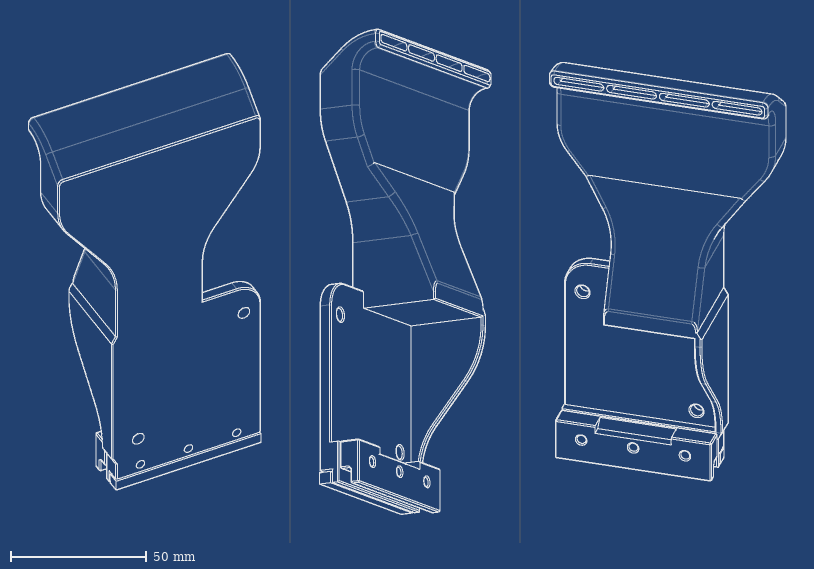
import cadquery as cq
import math


total_height = 171
paddle_width = 84.3
half_paddle = paddle_width / 2
neck_width = 36.2
half_neck = neck_width / 2
paddle_thickness = 16.0
lip_depth = 35.4
hook_depth = 25.1
hook_land = 1.5
crown_radius = 23.0
crown_angle = math.radians(40)
tip_bottom = 164.0
slope_top = 123.5
lip_top = 78.7
lip_bottom = 71.6
shoulder_top = 136.6
shoulder_bottom = 105.0
shoulder_radius = 18.8
neck_radius = 24
edge_round = 2.0
tip_chamfer = 1.0
edge_chamfer = 0.5

tolerance = 0.02
margin = 1.7

slot_count = 4
slot_length = 19.1
slot_height = 3.0
slot_pitch = 20.3
slot_z = 167.5
slot_sweep = 60

plate_thickness = 5.0
plate_top = 78.3
plate_corner = 10.0
plate_hole_diameter = 4.8
plate_holes = [(35.0, 66.0), (-8.9, 22.2)]
foot_thickness = 8.2
foot_top = 16.4
foot_bottom = 1.0
wall_outer = -19.8
wall_inner = -17.0
wall_top = 74.5
wall_bottom = 13.3
wall_upper_corner = 57.1
wall_run_angle = math.radians(41)
wall_upper_radius = 30.8
wall_lower_radius = 25.6

rebate_depth = 5.6
rebate_top = 6.2
bar_clearance = 0.9

clamp_gap = 0.5
clamp_front = 17.0
clamp_leg = 3.8
clamp_underside = 6.0
screw_diameter = 3.5
screw_pitch = 20.0
screw_z = 9.5
pocket_length = 29.4
pocket_depth = 3.0
pocket_floor = 3.6

foot_centre = (half_paddle - half_neck) / 2
arc_x = hook_land - hook_depth
hook_radius = -paddle_thickness - arc_x
hook_centre_z = tip_bottom - hook_radius
screw_points = [(foot_centre + i * screw_pitch, screw_z) for i in (-1, 0, 1)]


def box(x_range, y_range, z_range):
    """Axis-aligned block between the given limits."""
    low = [min(r) for r in (x_range, y_range, z_range)]
    size = [abs(r[1] - r[0]) for r in (x_range, y_range, z_range)]
    return cq.Workplane("XY").box(*size, centered=False).translate(tuple(low))


def holes_along_x(points, diameter):
    """Cylinders for through holes along X, as long as the part is deep."""
    return (
        cq.Workplane("YZ", origin=(-lip_depth, 0, 0))
        .pushPoints(points)
        .circle(diameter / 2)
        .extrude(lip_depth)
    )


def countersinks(points, diameter, front_x):
    """Cones that break the front rim of holes opening at front_x."""
    return (
        cq.Workplane("YZ", origin=(front_x, 0, 0))
        .pushPoints(points)
        .circle(diameter / 2 + edge_chamfer)
        .extrude(edge_chamfer, taper=45)
    )


def paddle_side_profile():
    """Section through the hook, flat, slope and lip, extruded over the full width."""
    crown_z = total_height - crown_radius
    crown_end = (
        arc_x + crown_radius * math.sin(crown_angle),
        crown_z + crown_radius * math.cos(crown_angle),
    )
    crown_mid = (
        arc_x + crown_radius * math.sin(crown_angle / 2),
        crown_z + crown_radius * math.cos(crown_angle / 2),
    )
    back_top = crown_end[1] + crown_end[0] * math.tan(crown_angle)
    hook_mid = (
        arc_x + hook_radius * math.cos(math.pi / 4),
        hook_centre_z + hook_radius * math.sin(math.pi / 4),
    )
    return (
        cq.Workplane("XZ", origin=(0, half_paddle, 0))
        .moveTo(0, lip_bottom)
        .lineTo(0, back_top)
        .lineTo(*crown_end)
        .threePointArc(crown_mid, (arc_x, total_height))
        .lineTo(-hook_depth, total_height)
        .lineTo(-hook_depth, tip_bottom)
        .lineTo(arc_x, tip_bottom)
        .threePointArc(hook_mid, (-paddle_thickness, hook_centre_z))
        .lineTo(-paddle_thickness, slope_top)
        .lineTo(-lip_depth, lip_top)
        .lineTo(-lip_depth, lip_bottom)
        .close()
        .extrude(paddle_width)
    )


def paddle_outline():
    """Wide top, tapered shoulders and narrow neck, extruded over the full depth."""
    right_half = [
        (half_neck, lip_bottom),
        (half_neck, shoulder_bottom),
        (half_paddle, shoulder_top),
        (half_paddle, total_height),
    ]
    left_half = [(-y, z) for y, z in reversed(right_half)]
    outline = (
        cq.Workplane("YZ", origin=(-lip_depth, 0, 0))
        .polyline(right_half + left_half)
        .close()
        .extrude(lip_depth)
    )
    for z, radius in ((shoulder_top, shoulder_radius), (shoulder_bottom, neck_radius)):
        level = cq.selectors.BoxSelector(
            (-lip_depth, -half_paddle - margin, z - tolerance),
            (0, half_paddle + margin, z + tolerance),
        )
        outline = outline.edges("|X").edges(level).fillet(radius)
    return outline


def is_rounded_edge(edge):
    """True for the side edges of the crown, hook, flat and slope."""
    limits = edge.BoundingBox()
    on_back = limits.xmin > -tolerance
    runs_along_y = limits.xlen < tolerance and limits.zlen < tolerance
    seam_to_back = limits.zlen < tolerance and limits.xmax > -tolerance
    on_tip_or_lip = limits.xlen < tolerance and limits.xmax < -paddle_thickness - tolerance
    return not (on_back or runs_along_y or seam_to_back or on_tip_or_lip)


def grip_slots():
    """Round-ended slots that enter the tip face and bend down around the hook."""
    first_y = -slot_pitch * (slot_count - 1) / 2
    slots = cq.Workplane("XY")
    for i in range(slot_count):
        centre_y = first_y + i * slot_pitch
        bend = (
            cq.Workplane("YZ", origin=(-hook_depth, centre_y, slot_z))
            .slot2D(slot_length, slot_height)
            .revolve(slot_sweep, (0, hook_centre_z - slot_z, 0), (1, hook_centre_z - slot_z, 0))
        )
        slots = slots.add(bend)
    return slots.combine()


def make_paddle():
    """Upper part of the handle: hooked blade with a neck and a deep lip."""
    blade = paddle_side_profile().intersect(paddle_outline())
    blade = blade.newObject([e for e in blade.edges().vals() if is_rounded_edge(e)]).fillet(edge_round)
    tip = cq.selectors.BoxSelector(
        (-hook_depth - tolerance, -half_paddle, tip_bottom - margin),
        (-hook_depth + tolerance, half_paddle, total_height + margin),
    )
    blade = blade.edges(tip).chamfer(tip_chamfer)
    blade = blade.faces("<X").edges().chamfer(edge_chamfer)
    return blade.cut(grip_slots())


def make_base():
    """Plate with one large corner radius, standing on a thicker rebated foot."""
    plate = box((-plate_thickness, 0), (wall_inner, half_paddle), (foot_top, plate_top))
    plate = plate.edges("|X and >Y and >Z").fillet(plate_corner)
    plate = plate.faces("<X").edges(">Y or >Z or %CIRCLE").chamfer(edge_chamfer)
    foot = box((-foot_thickness, 0), (-half_neck, half_paddle), (foot_bottom, foot_top))
    foot = foot.faces("<X").edges("not >Z").chamfer(edge_chamfer)
    return plate.union(foot)


def make_side_wall():
    """S-shaped wall along one side of the plate, blended into the lip and the foot."""
    run_depth = lip_depth - foot_thickness
    lower_corner_z = wall_upper_corner - run_depth / math.tan(wall_run_angle)
    profile = [
        (0, wall_bottom),
        (0, wall_top),
        (-lip_depth, wall_top),
        (-lip_depth, wall_upper_corner),
        (-foot_thickness, lower_corner_z),
        (-foot_thickness, wall_bottom),
    ]
    wall = (
        cq.Workplane("XZ", origin=(0, wall_inner, 0))
        .polyline(profile)
        .close()
        .extrude(wall_inner - wall_outer)
    )
    corners = (
        (lip_depth, wall_upper_corner, wall_upper_radius),
        (foot_thickness, lower_corner_z, wall_lower_radius),
    )
    for depth, z, radius in corners:
        corner = cq.selectors.BoxSelector(
            (-depth - tolerance, wall_outer - margin, z - tolerance),
            (-depth + tolerance, wall_inner + margin, z + tolerance),
        )
        wall = wall.edges("|Y").edges(corner).fillet(radius)
    front_rims = cq.selectors.BoxSelector(
        (-lip_depth - margin, wall_outer - margin, wall_bottom + tolerance),
        (-foot_thickness + tolerance, wall_inner + margin, wall_top - tolerance),
    )
    wall = wall.edges("not |Y").edges(front_rims).chamfer(edge_chamfer)
    return wall.intersect(wall_ends())


def wall_ends():
    """Block that slopes the outer face of the side wall in to the neck at both ends."""
    return (
        cq.Workplane("YZ", origin=(-lip_depth, 0, 0))
        .polyline(
            [
                (wall_inner, wall_bottom),
                (-half_neck, wall_bottom),
                (wall_outer, foot_top),
                (wall_outer, lip_bottom),
                (-half_neck, wall_top),
                (wall_inner, wall_top),
            ]
        )
        .close()
        .extrude(lip_depth)
    )


def make_handle():
    """Paddle, base and side wall in one solid, with the bar rebate and all holes cut."""
    handle = make_paddle().union(make_base()).union(make_side_wall())
    handle = handle.faces(">X").edges().chamfer(edge_chamfer)
    handle = handle.cut(box((-rebate_depth, 0), (-half_neck, half_paddle), (foot_bottom, rebate_top)))
    handle = handle.cut(holes_along_x(plate_holes, plate_hole_diameter))
    handle = handle.cut(countersinks(plate_holes, plate_hole_diameter, -plate_thickness))
    return handle.cut(holes_along_x(screw_points, screw_diameter))


def make_clamp():
    """Jaw with a thin front leg and a sloped pocket in its top edge."""
    back = -foot_thickness - clamp_gap
    jaw = box((-clamp_front, back), (-half_neck, half_paddle), (0, foot_top))
    gap = box((-clamp_front + clamp_leg, back), (-half_neck, half_paddle), (0, clamp_underside))
    jaw = jaw.cut(gap).edges().chamfer(edge_chamfer)
    pocket_bottom = foot_top - pocket_depth
    pocket = (
        cq.Workplane("XZ", origin=(0, foot_centre + pocket_length / 2, 0))
        .polyline(
            [
                (-clamp_front, foot_top),
                (-clamp_front, pocket_bottom),
                (-clamp_front + pocket_floor, pocket_bottom),
                (-clamp_front + pocket_floor + pocket_depth, foot_top),
            ]
        )
        .close()
        .extrude(pocket_length)
    )
    jaw = jaw.cut(pocket).cut(holes_along_x(screw_points, screw_diameter))
    return jaw.cut(countersinks(screw_points, screw_diameter, -clamp_front))


def make_bar():
    """Square bar lying in the rebate at the back of the foot."""
    return box(
        (-rebate_depth + bar_clearance, 0),
        (-half_neck, half_paddle),
        (foot_bottom, rebate_top - bar_clearance),
    )


handle = make_handle().solids()
clamp = make_clamp().solids()
bar = make_bar()

result = cq.Compound.makeCompound([handle.val(), clamp.val(), bar.val()])